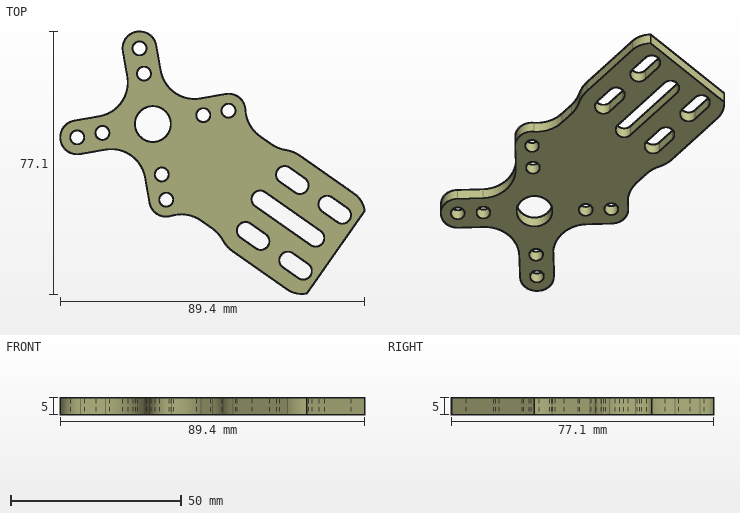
import cadquery as cq
import math

THICKNESS = 5.0
PLATE_ANGLE = -35

HUB_HOLE_DIAMETER = 10.5
ARM_HOLE_DIAMETER = 4.0
ARM_HOLE_RADII = (15.0, 22.5)
ARM_HALF_WIDTH = 5.0
BLEND_RADIUS = 10.0

NECK_HALF_WIDTH = 15.1
TAIL_HALF_WIDTH = 17.2
TAIL_START = 40.7
TAIL_END = 65.6
CORNER_RADIUS = 7.5
CORNER_START = 60.1

SLOT_WIDTH = 5.0
SHORT_SLOT_LENGTH = 10.5
LONG_SLOT_LENGTH = 24.9
SHORT_SLOT_X = (42.9, 58.1)
SHORT_SLOT_Y = 10.0
LONG_SLOT_X = 48.4

DIAGONAL = math.sqrt(0.5)
VALLEY_CENTER = (ARM_HALF_WIDTH + BLEND_RADIUS) / DIAGONAL


def on_circle(center, radius, degrees):
    """Point on a circle at the given angle."""
    angle = math.radians(degrees)
    return (center[0] + radius * math.cos(angle), center[1] + radius * math.sin(angle))


def continue_arc(path, center, radius, start, end):
    """Follow an arc whose start is the current point of the path."""
    return path.threePointArc(
        on_circle(center, radius, (start + end) / 2), on_circle(center, radius, end)
    )


def arc_about(path, center, radius, start, end):
    """Line to the start of an arc, then follow the arc."""
    path = path.lineTo(*on_circle(center, radius, start))
    return continue_arc(path, center, radius, start, end)


def half_plate():
    """The +Y half of the plate, with the valley between the rear arms still filled."""
    tip = ARM_HOLE_RADII[-1] * DIAGONAL
    upper_valley = (0, VALLEY_CENTER)

    neck_y = NECK_HALF_WIDTH + BLEND_RADIUS
    rise = neck_y - tip
    run = math.sqrt((ARM_HALF_WIDTH + BLEND_RADIUS) ** 2 - rise**2)
    neck_blend = (tip + run, neck_y)
    tip_end = math.degrees(math.atan2(rise, run))

    step = TAIL_HALF_WIDTH - NECK_HALF_WIDTH
    step_angle = math.degrees(math.acos(1 - step / (2 * BLEND_RADIUS)))
    step_length = 2 * BLEND_RADIUS * math.sin(math.radians(step_angle))
    step_inner = (TAIL_START - step_length, neck_y)
    step_outer = (TAIL_START, TAIL_HALF_WIDTH - BLEND_RADIUS)

    corner = (CORNER_START, TAIL_HALF_WIDTH - CORNER_RADIUS)
    corner_end = math.degrees(math.acos((TAIL_END - CORNER_START) / CORNER_RADIUS))

    path = cq.Workplane("XY").moveTo(TAIL_END, 0)
    path = path.lineTo(-VALLEY_CENTER, 0)
    path = path.lineTo(*on_circle((-VALLEY_CENTER, 0), BLEND_RADIUS, 45))
    path = arc_about(path, (-tip, tip), ARM_HALF_WIDTH, 225, 45)
    path = arc_about(path, upper_valley, BLEND_RADIUS, 225, 315)
    path = arc_about(path, (tip, tip), ARM_HALF_WIDTH, 135, tip_end)
    path = continue_arc(path, neck_blend, BLEND_RADIUS, 180 + tip_end, 270)
    path = arc_about(path, step_inner, BLEND_RADIUS, 270, 270 + step_angle)
    path = continue_arc(path, step_outer, BLEND_RADIUS, 90 + step_angle, 90)
    path = arc_about(path, corner, CORNER_RADIUS, 90, corner_end)
    return path.close().extrude(THICKNESS)


def hole_cutter(points, diameter):
    return cq.Workplane("XY").pushPoints(points).circle(diameter / 2).extrude(THICKNESS)


def slot_cutter(points, length):
    return cq.Workplane("XY").pushPoints(points).slot2D(length, SLOT_WIDTH).extrude(THICKNESS)


upper_half = half_plate()
plate = upper_half.union(upper_half.mirror("XZ")).clean()

arm_holes = [
    on_circle((0, 0), radius, angle)
    for radius in ARM_HOLE_RADII
    for angle in (45, 135, 225, 315)
]
short_slots = [(x, y) for x in SHORT_SLOT_X for y in (-SHORT_SLOT_Y, SHORT_SLOT_Y)]

plate = plate.cut(hole_cutter([(-VALLEY_CENTER, 0)], 2 * BLEND_RADIUS))

plate = plate.cut(hole_cutter([(0, 0)], HUB_HOLE_DIAMETER))
plate = plate.cut(hole_cutter(arm_holes, ARM_HOLE_DIAMETER))
plate = plate.cut(slot_cutter(short_slots, SHORT_SLOT_LENGTH))
plate = plate.cut(slot_cutter([(LONG_SLOT_X, 0)], LONG_SLOT_LENGTH))

result = plate.rotate((0, 0, 0), (0, 0, 1), PLATE_ANGLE)